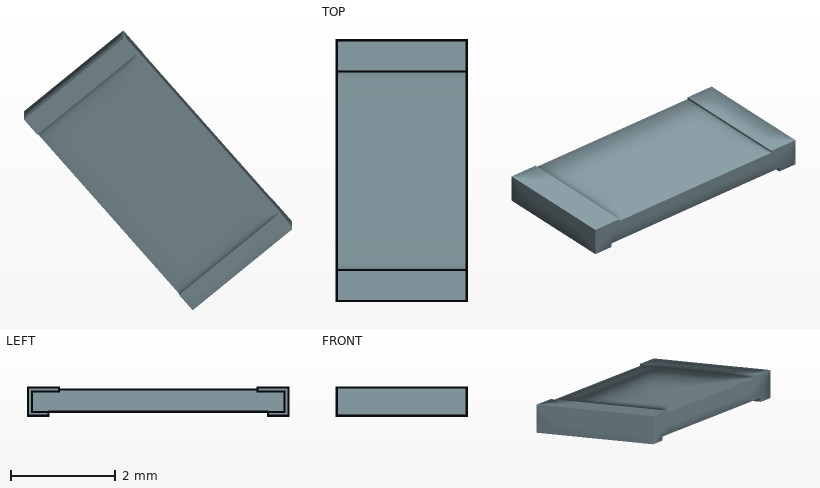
import cadquery as cq

width = 2.5
length = 5.0
height = 0.55

plating = 0.08
top_arm_length = 0.6
bottom_arm_length = 0.4

top_recess = plating / 2

substrate_end = length / 2 - plating
seat_bottom = plating
seat_top = height - plating
middle_top = height - top_recess
top_arm_tip = length / 2 - top_arm_length
bottom_arm_tip = length / 2 - bottom_arm_length


def extrude_across_width(points):
    """Extrude a closed (y, z) outline over the full width, centred on X = 0."""
    return cq.Workplane("YZ").polyline(points).close().extrude(width / 2, both=True)


def make_substrate():
    """Flat slab whose raised middle fits between the two top terminal arms."""
    return extrude_across_width([
        (-substrate_end, seat_bottom),
        (substrate_end, seat_bottom),
        (substrate_end, seat_top),
        (top_arm_tip, seat_top),
        (top_arm_tip, middle_top),
        (-top_arm_tip, middle_top),
        (-top_arm_tip, seat_top),
        (-substrate_end, seat_top),
    ])


def make_terminal(side):
    """C-shaped cap at the +Y end (side = 1) or the -Y end (side = -1)."""
    outline = [
        (length / 2, 0),
        (length / 2, height),
        (top_arm_tip, height),
        (top_arm_tip, seat_top),
        (substrate_end, seat_top),
        (substrate_end, seat_bottom),
        (bottom_arm_tip, seat_bottom),
        (bottom_arm_tip, 0),
    ]
    return extrude_across_width([(side * y, z) for y, z in outline])


substrate = make_substrate()
terminals = [make_terminal(side) for side in (1, -1)]

result = cq.Compound.makeCompound(
    [substrate.val()] + [terminal.val() for terminal in terminals]
)